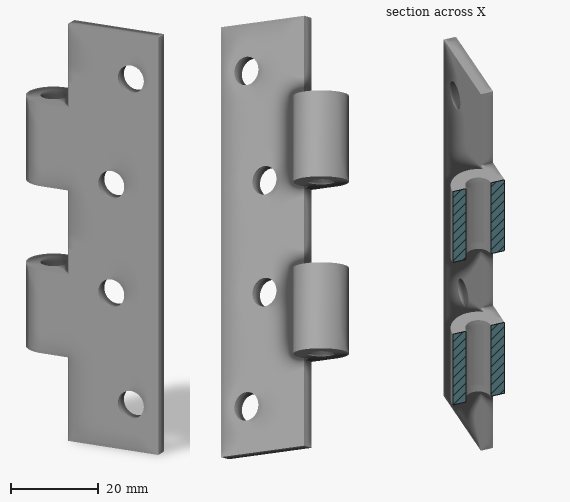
import cadquery as cq

length = 100.0
plate_width = 23.0
thickness = 3.0
knuckle_diameter = 12.7
bore_diameter = 6.0
overall_width = 36.3

segment_length = length / 5
knuckle_bottoms = [segment_length, 3 * segment_length]

screw_diameter = 6.6
outer_edge_distance = 7.0
inner_edge_distance = 12.0
outer_hole_offset = 39.0
inner_hole_offset = 13.0

knuckle_radius = knuckle_diameter / 2
plate_right = overall_width - knuckle_radius
plate_left = plate_right - plate_width
front_y = -knuckle_radius


def slab(x_start, x_end, z_bottom, height):
    """Flat piece of leaf whose front face is tangent to the knuckles."""
    return cq.Workplane("XY").box(
        x_end - x_start, thickness, height, centered=False
    ).translate((x_start, front_y, z_bottom))


def knuckle(z_bottom):
    """Bored barrel joined to the plate by a flat web."""
    plane = cq.Workplane("XY").workplane(offset=z_bottom)
    barrel = plane.circle(knuckle_radius).extrude(segment_length)
    bore = plane.circle(bore_diameter / 2).extrude(segment_length)
    web = slab(0, plate_left, z_bottom, segment_length)
    return barrel.union(web).cut(bore)


def screw_hole(edge_distance, z):
    """Cutter through the plate thickness."""
    return (
        cq.Workplane("XZ", origin=(plate_right - edge_distance, front_y, z))
        .circle(screw_diameter / 2)
        .extrude(-thickness)
    )


result = slab(plate_left, plate_right, 0, length)

for bottom in knuckle_bottoms:
    result = result.union(knuckle(bottom))

for side in (-1, 1):
    for edge_distance, offset in (
        (outer_edge_distance, outer_hole_offset),
        (inner_edge_distance, inner_hole_offset),
    ):
        result = result.cut(screw_hole(edge_distance, length / 2 + side * offset))